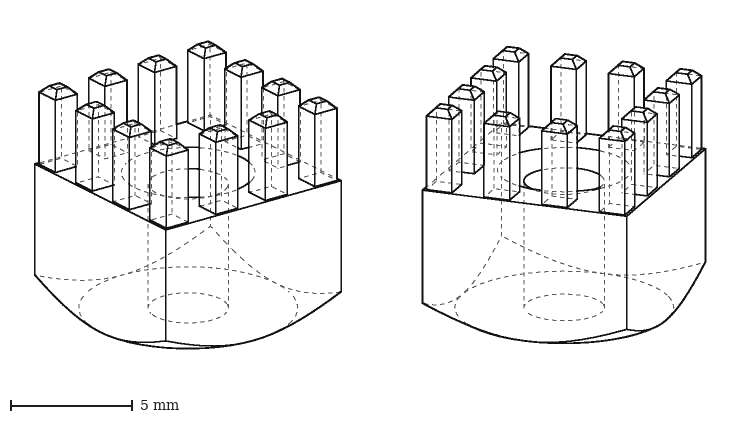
import cadquery as cq
import math

side = 9.0
block_height = 6.0

chamfer_angle = 30.0
chamfer_bottom_radius = side / 2

hole_diameter = 3.3
countersink_diameter = 5.5
countersink_depth = 0.5

pins_per_side = 4
pin_pitch = 2.54
pin_width = 1.13
pin_height = 3.5
tip_height = 0.3
tip_width = pin_width - 2 * tip_height


def make_block():
    """Square block whose lower corners are cut away by a cone around Z."""
    envelope_radius = side
    cone_height = (envelope_radius - chamfer_bottom_radius) * math.tan(math.radians(chamfer_angle))
    envelope = (
        cq.Workplane("XZ")
        .polyline([
            (0, 0),
            (chamfer_bottom_radius, 0),
            (envelope_radius, cone_height),
            (envelope_radius, block_height),
            (0, block_height),
        ])
        .close()
        .revolve(360, (0, 0, 0), (0, 1, 0))
    )
    block = cq.Workplane("XY").box(side, side, block_height, centered=(True, True, False))
    return block.intersect(envelope)


def make_hole():
    """Through hole with a conical countersink opening at the top face."""
    profile = [
        (0, 0),
        (hole_diameter / 2, 0),
        (hole_diameter / 2, block_height - countersink_depth),
        (countersink_diameter / 2, block_height),
        (0, block_height),
    ]
    return cq.Workplane("XZ").polyline(profile).close().revolve(360, (0, 0, 0), (0, 1, 0))


def make_pin(x, y):
    """Square pin standing on the top face, tapered on all four sides at its tip."""
    shaft_height = pin_height - tip_height
    base = cq.Workplane("XY", origin=(x, y, block_height))
    shaft = base.rect(pin_width, pin_width).extrude(shaft_height)
    tip = (
        base.workplane(offset=shaft_height)
        .rect(pin_width, pin_width)
        .workplane(offset=tip_height)
        .rect(tip_width, tip_width)
        .loft(ruled=True)
    )
    return shaft.union(tip)


def pin_positions():
    """Grid positions along the border of the square pin pattern."""
    last = pins_per_side - 1
    first_offset = -last * pin_pitch / 2
    positions = []
    for column in range(pins_per_side):
        for row in range(pins_per_side):
            if column in (0, last) or row in (0, last):
                positions.append((first_offset + column * pin_pitch, first_offset + row * pin_pitch))
    return positions


result = make_block().cut(make_hole())
for pin_x, pin_y in pin_positions():
    result = result.union(make_pin(pin_x, pin_y))